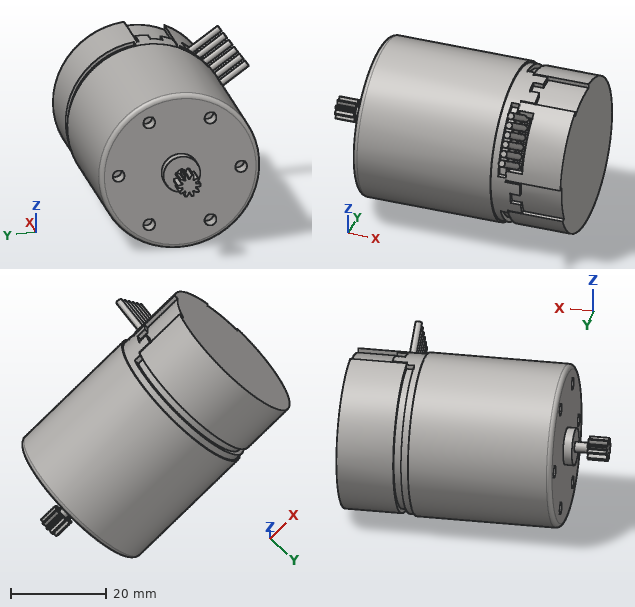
import cadquery as cq
import math


TOTAL_LENGTH = 55.1
PINION_LENGTH = 4.15
BOSS_FRONT = 7.1
CAN_FRONT = 9.0
CAN_REAR = 39.65
GROOVE_FRONT = 41.2
CAP_FRONT = 42.9
NOTCH_FRONT = 43.9
TONGUE_REAR = 46.1

CAN_RADIUS = 17.35
CAN_FILLET = 1.0
BOSS_RADIUS = 3.95
SHAFT_RADIUS = 1.1
SCREW_HOLES = 6
SCREW_HOLE_RADIUS = 1.25
SCREW_CIRCLE_RADIUS = 13.2
SCREW_HOLE_DEPTH = 3.0

TEETH = 10
MODULE = 0.415
PITCH_RADIUS = MODULE * TEETH / 2
TIP_RADIUS = PITCH_RADIUS + MODULE
ROOT_RADIUS = PITCH_RADIUS - 1.25 * MODULE
TIP_HALF_WIDTH = 0.15
PITCH_HALF_WIDTH = math.pi * MODULE / 4
ROOT_HALF_WIDTH = 0.4

CAP_RADIUS = 16.95
SLEEVE_RADIUS = 16.05
CAVITY_RADIUS = 14.65
CUT_MARGIN = 1.1

WINDOW_FRONT = 43.1
WINDOW_REAR = 46.5
WINDOW_ANGLE = 35.3
WINDOW_WIDTH = 13.0
SLEEVE_OPENING_Y = -8.05
SLEEVE_OPENING_Z = 3.0

LATCH_TURNS = (0, 90)
LATCH_OFFSET = -2.75
BRIDGE_WIDTH = 9.9
RECESS_WIDTH = 8.7
TONGUE_OFFSET = -2.85
TONGUE_WIDTH = 8.15
NOTCH_WIDTH = 2.65

WIRES = 6
WIRE_RADIUS = 0.7
WIRE_PITCH = 2.05
WIRE_X = 43.95
WIRE_END = 23.85
CONNECTOR_FACE = 12.25
CONNECTOR_DEPTH = 4.4
CONNECTOR_REAR = 45.6
CONNECTOR_WIDTH = (WIRES - 1) * WIRE_PITCH + 2 * WIRE_RADIUS
SOCKET_DEPTH = 0.3
SOCKET_WIDTH = 1.65
SOCKET_REAR = 45.05


def disc(x_start, x_end, radius):
    """Solid cylinder on the motor axis."""
    return cq.Workplane("YZ", origin=(x_start, 0, 0)).circle(radius).extrude(x_end - x_start)


def skin_ring(x_start, x_end):
    """Ring between the sleeve and the outside of the cap, with room to spare outside."""
    outer = disc(x_start, x_end, CAP_RADIUS + CUT_MARGIN)
    return outer.cut(disc(x_start, x_end, SLEEVE_RADIUS))


def box_facing_front(x_start, x_end, inner, outer, width, offset=0.0):
    """Box reaching from y = -inner to y = -outer, centred at z = offset."""
    size = (x_end - x_start, outer - inner, width)
    centre = ((x_start + x_end) / 2, -(inner + outer) / 2, offset)
    return cq.Workplane("XY").box(*size).translate(centre)


def turn(shape, angle):
    """Turn a shape around the motor axis, from -Y towards +Z."""
    return shape.rotate((0, 0, 0), (1, 0, 0), -angle)


def make_can():
    can = disc(CAN_FRONT, CAN_REAR, CAN_RADIUS).faces("<X").edges().fillet(CAN_FILLET)
    holes = (
        cq.Workplane("YZ", origin=(CAN_FRONT, 0, 0))
        .polarArray(SCREW_CIRCLE_RADIUS, 0, 360, SCREW_HOLES)
        .circle(SCREW_HOLE_RADIUS)
        .extrude(SCREW_HOLE_DEPTH)
    )
    boss = disc(BOSS_FRONT, CAN_FRONT, BOSS_RADIUS)
    shaft = disc(0, BOSS_FRONT, SHAFT_RADIUS)
    return can.cut(holes).union(boss).union(shaft)


def make_pinion():
    pinion = disc(0, PINION_LENGTH, ROOT_RADIUS)
    tooth = (
        cq.Workplane("YZ")
        .moveTo(0, -ROOT_HALF_WIDTH)
        .lineTo(ROOT_RADIUS, -ROOT_HALF_WIDTH)
        .threePointArc((PITCH_RADIUS, -PITCH_HALF_WIDTH), (TIP_RADIUS, -TIP_HALF_WIDTH))
        .lineTo(TIP_RADIUS, TIP_HALF_WIDTH)
        .threePointArc((PITCH_RADIUS, PITCH_HALF_WIDTH), (ROOT_RADIUS, ROOT_HALF_WIDTH))
        .lineTo(0, ROOT_HALF_WIDTH)
        .close()
        .extrude(PINION_LENGTH)
    )
    for i in range(TEETH):
        pinion = pinion.union(turn(tooth, i * 360 / TEETH))
    return pinion


def latch_box(x_start, x_end, width, offset):
    """Box with parallel sides that covers the cap skin at the -Y latch."""
    return box_facing_front(x_start, x_end, 0, CAP_RADIUS + CUT_MARGIN, width, offset)


def make_groove():
    """Groove in front of the cap, bridged ahead of each latch."""
    groove = skin_ring(GROOVE_FRONT, CAP_FRONT)
    bridge = latch_box(GROOVE_FRONT, CAP_FRONT, BRIDGE_WIDTH, LATCH_OFFSET)
    for angle in LATCH_TURNS:
        groove = groove.cut(turn(bridge, angle))
    return groove


def make_latch_cut():
    """Recess around a notched tongue, leaving a slit along each side of the tongue."""
    recess = latch_box(CAP_FRONT, TOTAL_LENGTH, RECESS_WIDTH, LATCH_OFFSET)
    tongue = latch_box(CAP_FRONT, TONGUE_REAR, TONGUE_WIDTH, TONGUE_OFFSET)
    notch = latch_box(NOTCH_FRONT, TONGUE_REAR, NOTCH_WIDTH, TONGUE_OFFSET)
    return skin_ring(CAP_FRONT, TOTAL_LENGTH).intersect(recess.cut(tongue.cut(notch)))


def cut_window(cap):
    """Hollow behind the window, a square-cornered opening in the sleeve and a tilted one in the skin."""
    cavity = disc(WINDOW_FRONT, WINDOW_REAR, CAVITY_RADIUS)
    corner = (
        cq.Workplane("YZ", origin=(WINDOW_FRONT, SLEEVE_OPENING_Y, SLEEVE_OPENING_Z))
        .rect(-CAP_RADIUS, CAP_RADIUS, centered=False)
        .extrude(WINDOW_REAR - WINDOW_FRONT)
    )
    sleeve_opening = disc(WINDOW_FRONT, WINDOW_REAR, SLEEVE_RADIUS).intersect(corner)
    tilted_box = box_facing_front(
        WINDOW_FRONT, WINDOW_REAR, 0, CAP_RADIUS + CUT_MARGIN, WINDOW_WIDTH
    )
    skin_opening = skin_ring(WINDOW_FRONT, WINDOW_REAR).intersect(turn(tilted_box, WINDOW_ANGLE))
    return cap.cut(cavity).cut(sleeve_opening).cut(skin_opening)


def make_cap():
    cap = disc(CAN_REAR, TOTAL_LENGTH, CAP_RADIUS).cut(make_groove())
    latch_cut = make_latch_cut()
    for angle in LATCH_TURNS:
        cap = cap.cut(turn(latch_cut, angle))
    return cut_window(cap)


def make_connector():
    """Block on the front wall of the hollow, with one wire standing in each socket."""
    block_inner = CONNECTOR_FACE - CONNECTOR_DEPTH
    socket_floor = CONNECTOR_FACE - SOCKET_DEPTH
    connector = box_facing_front(
        WINDOW_FRONT, CONNECTOR_REAR, block_inner, CONNECTOR_FACE, CONNECTOR_WIDTH
    )
    offsets = [(i - (WIRES - 1) / 2) * WIRE_PITCH for i in range(WIRES)]
    for offset in offsets:
        socket = box_facing_front(
            WINDOW_FRONT, SOCKET_REAR, socket_floor, CONNECTOR_FACE, SOCKET_WIDTH, offset
        )
        connector = connector.cut(socket)
    for offset in offsets:
        wire = (
            cq.Workplane("XZ", origin=(WIRE_X, -block_inner, offset))
            .circle(WIRE_RADIUS)
            .extrude(WIRE_END - block_inner)
        )
        connector = connector.union(wire)
    return turn(connector, WINDOW_ANGLE)


result = make_can().union(make_pinion()).union(make_cap()).union(make_connector())